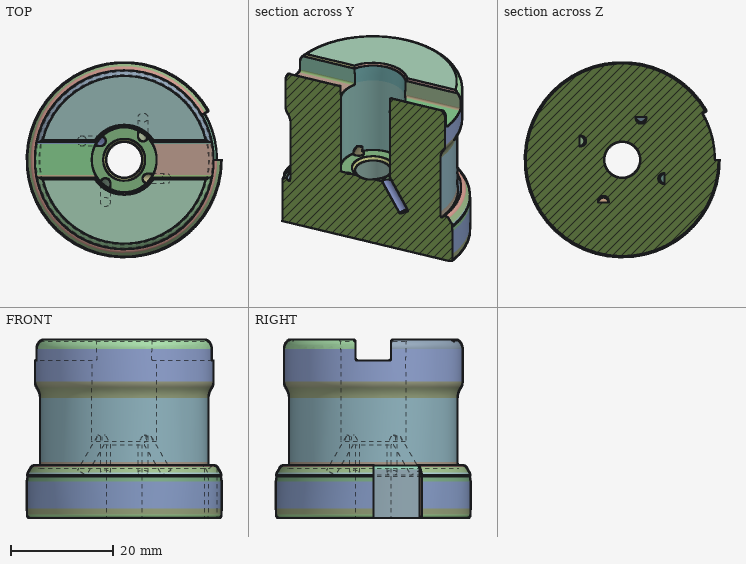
import cadquery as cq
import math

TOTAL_HEIGHT = 34.95

COLLAR_RADIUS = 19.08
FOOT_RADIUS = 18.37
FOOT_ROUND_HEIGHT = 0.69
FOOT_ROUND_RADIUS = 19.04
COLLAR_BAND_BOTTOM = 1.88
COLLAR_BAND_TOP = 7.16
COLLAR_RELIEF_HEIGHT = 8.19
COLLAR_RELIEF_RADIUS = 18.92
COLLAR_LIP_HEIGHT = 8.47
COLLAR_LIP_RADIUS = 19.0
CONE_BOTTOM_HEIGHT = 8.92
CONE_BOTTOM_RADIUS = 18.87
CONE_TOP_HEIGHT = 9.95
CONE_TOP_RADIUS = 18.25
CREST_HEIGHT = 10.34
CREST_RADIUS = 17.25

BODY_RADIUS = 33.0 / 2
BODY_FLARE_TOP = 10.98
GROOVE_FLOOR_RADIUS = 16.65
GROOVE_FLOOR_HEIGHT = 9.75
NECK_BOTTOM = 23.45
NECK_MIDDLE = 25.5
HEAD_BOTTOM = 26.71
HEAD_RADIUS = 35.0 / 2
HEAD_SHOULDER_HEIGHT = 33.02
HEAD_TOP_RADIUS = 16.4

NOTCH_ANGLE = 30.0
NOTCH_RADIUS = 18.15
NOTCH_ROUND = NOTCH_RADIUS - CREST_RADIUS

SLOT_WIDTH = 6.9
SLOT_DEPTH = 4.1
SLOT_FLOOR_FILLET = 0.4
SLOT_EDGE_CHAMFER = 0.4

BORE_RADIUS = 12.7 / 2
BORE_MOUTH_RADIUS = 6.45
BORE_TAPER_DEPTH = 3.85
BORE_DEPTH = 20.0
BOLT_HOLE_RADIUS = 7.01 / 2
BOLT_HOLE_CHAMFER = 0.6
OBLIQUE_HOLE_COUNT = 4
OBLIQUE_HOLE_RADIUS = 2.0 / 2
OBLIQUE_HOLE_OFFSET = 3.67
OBLIQUE_HOLE_REACH = 4.75
OBLIQUE_HOLE_TILT = 30.0
OBLIQUE_HOLE_DEPTH = 7.0

CLEARANCE = 1.0


def turned_blank():
    """Collar, body, neck and head as one revolved outline."""
    concave_share = (NECK_MIDDLE - NECK_BOTTOM) / (HEAD_BOTTOM - NECK_BOTTOM)
    neck_middle_radius = BODY_RADIUS + concave_share * (HEAD_RADIUS - BODY_RADIUS)
    flare_width = GROOVE_FLOOR_RADIUS - BODY_RADIUS
    flare_height = BODY_FLARE_TOP - GROOVE_FLOOR_HEIGHT
    flare_radius = (flare_width**2 + flare_height**2) / (2 * flare_width)
    outline = (
        cq.Workplane("XZ")
        .lineTo(FOOT_RADIUS, 0)
        .tangentArcPoint((FOOT_ROUND_RADIUS, FOOT_ROUND_HEIGHT), relative=False)
        .lineTo(COLLAR_RADIUS, COLLAR_BAND_BOTTOM)
        .lineTo(COLLAR_RADIUS, COLLAR_BAND_TOP)
        .lineTo(COLLAR_RELIEF_RADIUS, COLLAR_RELIEF_HEIGHT)
        .lineTo(COLLAR_LIP_RADIUS, COLLAR_LIP_HEIGHT)
        .lineTo(CONE_BOTTOM_RADIUS, CONE_BOTTOM_HEIGHT)
        .lineTo(CONE_TOP_RADIUS, CONE_TOP_HEIGHT)
        .tangentArcPoint((CREST_RADIUS, CREST_HEIGHT), relative=False)
        .lineTo(GROOVE_FLOOR_RADIUS, GROOVE_FLOOR_HEIGHT)
        .radiusArc((BODY_RADIUS, BODY_FLARE_TOP), flare_radius)
        .lineTo(BODY_RADIUS, NECK_BOTTOM)
        .tangentArcPoint((neck_middle_radius, NECK_MIDDLE), relative=False)
        .tangentArcPoint((HEAD_RADIUS, HEAD_BOTTOM), relative=False)
        .lineTo(HEAD_RADIUS, HEAD_SHOULDER_HEIGHT)
        .tangentArcPoint((HEAD_TOP_RADIUS, TOTAL_HEIGHT), relative=False)
        .lineTo(0, TOTAL_HEIGHT)
        .close()
    )
    return outline.revolve(360, (0, 0, 0), (0, 1, 0))


def collar_notch():
    """Sector cut from the collar, leaving a core with a rounded top edge."""
    outer_radius = COLLAR_RADIUS + CLEARANCE
    ceiling = CREST_HEIGHT + CLEARANCE
    sector = (
        cq.Workplane("XZ")
        .moveTo(NOTCH_RADIUS, -CLEARANCE)
        .lineTo(NOTCH_RADIUS, CREST_HEIGHT - NOTCH_ROUND)
        .tangentArcPoint((CREST_RADIUS, CREST_HEIGHT), relative=False)
        .lineTo(CREST_RADIUS, ceiling)
        .lineTo(outer_radius, ceiling)
        .lineTo(outer_radius, -CLEARANCE)
        .close()
    )
    return sector.revolve(NOTCH_ANGLE, (0, 0, 0), (0, 1, 0))


def drive_slot():
    """Slot along X through the head, with rounded floor corners and chamfered top edges."""
    length = 2 * COLLAR_RADIUS
    floor = TOTAL_HEIGHT - SLOT_DEPTH
    half_width = SLOT_WIDTH / 2
    half_mouth = half_width + SLOT_EDGE_CHAMFER
    channel = (
        cq.Workplane("XY", origin=(0, 0, floor))
        .box(length, SLOT_WIDTH, SLOT_DEPTH, centered=(True, True, False))
        .edges("|X and <Z")
        .fillet(SLOT_FLOOR_FILLET)
    )
    mouth = (
        cq.Workplane("YZ", origin=(-length / 2, 0, 0))
        .polyline(
            [
                (-half_width, TOTAL_HEIGHT - SLOT_EDGE_CHAMFER),
                (half_width, TOTAL_HEIGHT - SLOT_EDGE_CHAMFER),
                (half_mouth, TOTAL_HEIGHT),
                (-half_mouth, TOTAL_HEIGHT),
            ]
        )
        .close()
        .extrude(length)
    )
    return channel.union(mouth)


def stepped_bore():
    """Chamfered pilot bore from the top, and the bolt hole through its floor."""
    bore_floor = TOTAL_HEIGHT - BORE_DEPTH
    outline = (
        cq.Workplane("XZ")
        .lineTo(BOLT_HOLE_RADIUS, 0)
        .lineTo(BOLT_HOLE_RADIUS, bore_floor - BOLT_HOLE_CHAMFER)
        .lineTo(BOLT_HOLE_RADIUS + BOLT_HOLE_CHAMFER, bore_floor)
        .lineTo(BORE_RADIUS, bore_floor)
        .lineTo(BORE_RADIUS, TOTAL_HEIGHT - BORE_TAPER_DEPTH)
        .lineTo(BORE_MOUTH_RADIUS, TOTAL_HEIGHT - SLOT_EDGE_CHAMFER)
        .lineTo(BORE_MOUTH_RADIUS + SLOT_EDGE_CHAMFER, TOTAL_HEIGHT)
        .lineTo(0, TOTAL_HEIGHT)
        .close()
    )
    return outline.revolve(360, (0, 0, 0), (0, 1, 0))


def oblique_hole(turn):
    """Blind hole sloping down and outward from the bore floor, turned about Z."""
    tilt = math.radians(OBLIQUE_HOLE_TILT)
    slope = cq.Vector(0, math.sin(tilt), -math.cos(tilt))
    mouth = cq.Vector(OBLIQUE_HOLE_OFFSET, OBLIQUE_HOLE_REACH, TOTAL_HEIGHT - BORE_DEPTH)
    start = mouth - slope * OBLIQUE_HOLE_RADIUS
    length = OBLIQUE_HOLE_DEPTH + OBLIQUE_HOLE_RADIUS
    hole = cq.Solid.makeCylinder(OBLIQUE_HOLE_RADIUS, length, start, slope)
    return hole.rotate(cq.Vector(0, 0, 0), cq.Vector(0, 0, 1), turn)


result = turned_blank().cut(collar_notch()).cut(drive_slot()).cut(stepped_bore())
for index in range(OBLIQUE_HOLE_COUNT):
    result = result.cut(cq.Workplane(oblique_hole(index * 360 / OBLIQUE_HOLE_COUNT)))